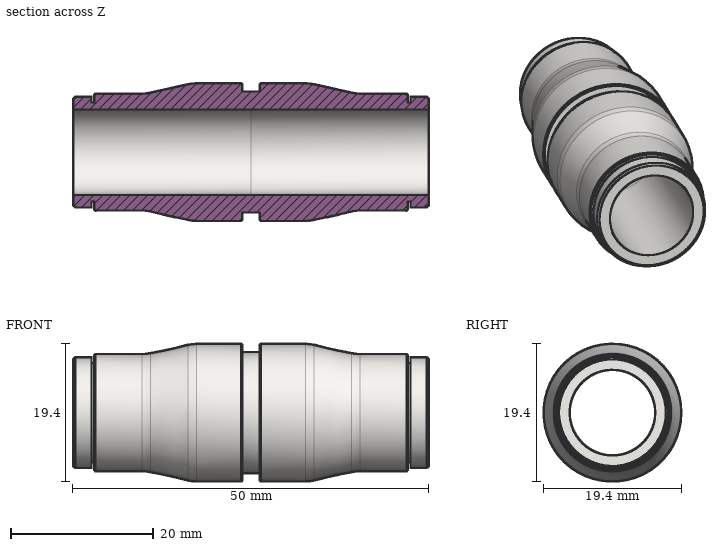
import cadquery as cq

length = 50.0
half_length = length / 2

bore_radius = 6.0
collar_radius = 7.8
groove_radius = 7.0
sleeve_radius = 8.25
barrel_radius = 9.7
neck_radius = 8.55

neck_end = 1.2
barrel_blend_start = 7.65
barrel_blend_end = 8.85
sleeve_blend_start = 14.15
sleeve_blend_end = 15.35
sleeve_end = 22.05
collar_start = 22.4

edge_chamfer = 0.2
collar_chamfer = 0.3

taper_start = (barrel_blend_start + barrel_blend_end) / 2
taper_end = (sleeve_blend_start + sleeve_blend_end) / 2
taper_slope = (barrel_radius - sleeve_radius) / (taper_end - taper_start)


def taper_radius(x):
    return barrel_radius - taper_slope * (x - taper_start)


def make_side():
    """Revolve the solid body on the +X side of the neck about the X axis."""
    profile = (
        cq.Workplane("XY")
        .moveTo(neck_end, 0)
        .lineTo(neck_end, barrel_radius - edge_chamfer)
        .lineTo(neck_end + edge_chamfer, barrel_radius)
        .lineTo(barrel_blend_start, barrel_radius)
        .tangentArcPoint((barrel_blend_end, taper_radius(barrel_blend_end)), relative=False)
        .lineTo(sleeve_blend_start, taper_radius(sleeve_blend_start))
        .tangentArcPoint((sleeve_blend_end, sleeve_radius), relative=False)
        .lineTo(sleeve_end - edge_chamfer, sleeve_radius)
        .lineTo(sleeve_end, sleeve_radius - edge_chamfer)
        .lineTo(sleeve_end, groove_radius)
        .lineTo(collar_start, groove_radius)
        .lineTo(collar_start, collar_radius)
        .lineTo(half_length - collar_chamfer, collar_radius)
        .lineTo(half_length, collar_radius - collar_chamfer)
        .lineTo(half_length, 0)
        .close()
    )
    return profile.revolve(360, (0, 0, 0), (1, 0, 0))


def make_cylinder(radius, cylinder_length):
    """Make a cylinder along X, centred on the origin."""
    return cq.Workplane("YZ").circle(radius).extrude(cylinder_length / 2, both=True)


side = make_side()
neck = make_cylinder(neck_radius, 2 * neck_end)
body = neck.union(side).union(side.mirror("YZ"))
result = body.cut(make_cylinder(bore_radius, length)).clean()